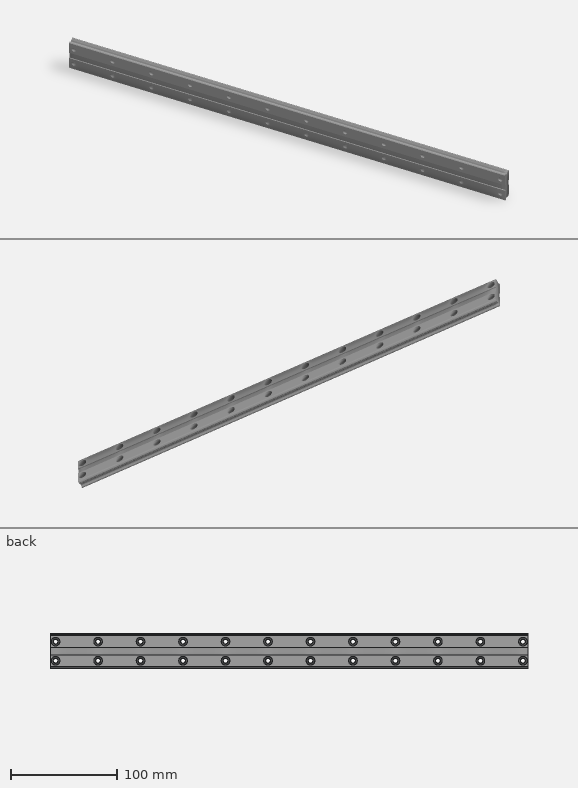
import cadquery as cq
import math

length = 450.0
thickness = 9.0
height = 33.0

channel_width = 6.8
channel_depth = 1.0

groove_depth = 2.0
groove_back_lip_y = 2.2
groove_front_lip_y = -2.65
front_wall_angle = 60.0
ledge_depth = 0.7
ledge_width = 0.68

front_bevel = 0.68
steep_bevel_width = 0.55
steep_bevel_height = 1.12
shallow_bevel_width = 1.0
shallow_bevel_height = 0.7

holes_per_row = 12
end_margin = 5.0
hole_pitch = (length - 2 * end_margin) / (holes_per_row - 1)
row_spacing = 18.0
hole_diameter = 4.5
counterbore_diameter = 8.0
counterbore_depth = 5.0

half_thickness = thickness / 2
half_height = height / 2
front_y = -half_thickness
back_y = half_thickness


def upper_profile():
    """Points (y, z) of the end profile above mid height, from the back face round to the front."""
    half_channel = channel_width / 2
    groove_floor_z = half_height - groove_depth
    ledge_z = half_height - ledge_depth
    ledge_back_y = groove_back_lip_y - ledge_depth
    ledge_front_y = ledge_back_y - ledge_width
    groove_back_floor_y = ledge_front_y - (groove_depth - ledge_depth)
    front_wall_run = groove_depth / math.tan(math.radians(front_wall_angle))
    bevel_break_y = back_y - steep_bevel_width
    bevel_break_z = half_height - shallow_bevel_height
    return [
        (back_y - channel_depth, half_channel),
        (back_y, half_channel),
        (back_y, bevel_break_z - steep_bevel_height),
        (bevel_break_y, bevel_break_z),
        (bevel_break_y - shallow_bevel_width, half_height),
        (groove_back_lip_y, half_height),
        (ledge_back_y, ledge_z),
        (ledge_front_y, ledge_z),
        (groove_back_floor_y, groove_floor_z),
        (groove_front_lip_y + front_wall_run, groove_floor_z),
        (groove_front_lip_y, half_height),
        (front_y + front_bevel, half_height),
        (front_y, half_height - front_bevel),
        (front_y, half_channel),
        (front_y + channel_depth, half_channel),
    ]


def make_bar():
    """Extrude the profile, symmetric about mid height, along X."""
    upper = upper_profile()
    lower = [(y, -z) for y, z in reversed(upper)]
    start = cq.Workplane("YZ", origin=(-length / 2, 0, 0))
    return start.polyline(upper + lower).close().extrude(length)


def drill_holes(bar):
    """Drill both rows through the thickness, counterbored from the back face."""
    return (
        bar.faces(">Y")
        .workplane(origin=(0, back_y, 0))
        .rarray(hole_pitch, row_spacing, holes_per_row, 2)
        .cboreHole(hole_diameter, counterbore_diameter, counterbore_depth)
    )


result = drill_holes(make_bar())